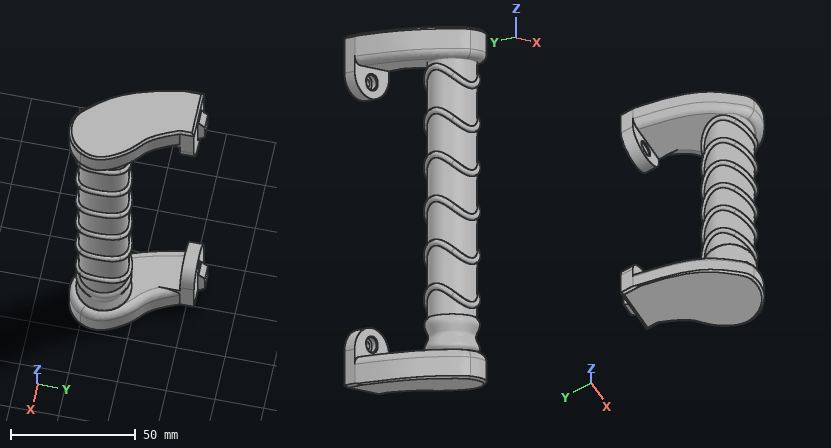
import cadquery as cq
import math


handle_height = 144.1

arm_thickness = 12.4
arm_left = -25.1
outer_chamfer = 1.0
inner_fillet = 3.5

flange_width = 20.0
flange_thickness = 5.8
flange_back = 35.9
flange_round_start = 15.1
screw_depth_from_end = 18.3
screw_hole_diameter = 3.5
screw_head_diameter = 6.0
screw_head_depth = 2.9
screw_head_chamfer = 0.5

tooth_width = 6.0
tooth_length = 13.3
tooth_height = 3.0
tooth_chamfer = 2.6
tooth_center_from_end = 9.0

grip_diameter = 20.2
collar_height = 14.4
collar_bulge_radius = 11.2
collar_neck_radius = 9.7
collar_lower_bulge_inset = 1.9
collar_upper_bulge_inset = 3.0
collar_neck_inset = 7.9

rib_count = 6
rib_pitch = 18.0
rib_radius = 1.3
rib_amplitude = 3.7
top_rib_z = 125.0

grip_radius = grip_diameter / 2
flange_center_x = arm_left + flange_width / 2
flange_right = arm_left + flange_width
flange_front = flange_back - flange_thickness
flange_radius = flange_width / 2
arm_underside = handle_height - arm_thickness

left_side = [(arm_left, flange_front), (-21.2, 13.1), (-15.9, 0.1), (-8.2, -10.0), (-3.5, -13.4)]
left_start_direction = (0.2, -1)
left_end_direction = (0.95, -0.3)
tip_middle = (4.5, -13.3)
right_side = [(11.7, -7.2), (13.3, -1.2), (5.6, 14.0), (flange_right, flange_front)]
right_start_direction = (0.45, 0.9)
right_end_direction = (-0.4, 1)


def bracket_arm():
    """Curved arm with a chamfered outer edge and a rounded inner edge."""
    arm = (
        cq.Workplane("XY", origin=(0, 0, arm_underside))
        .moveTo(arm_left, flange_back)
        .lineTo(*left_side[0])
        .spline(
            left_side[1:],
            includeCurrent=True,
            tangents=[left_start_direction, left_end_direction],
        )
        .threePointArc(tip_middle, right_side[0])
        .spline(
            right_side[1:],
            includeCurrent=True,
            tangents=[right_start_direction, right_end_direction],
        )
        .lineTo(flange_right, flange_back)
        .close()
        .extrude(arm_thickness)
    )
    arm = arm.faces(">Z").edges().chamfer(outer_chamfer)
    curved_edges = cq.selectors.BoxSelector(
        (arm_left - 1.5, flange_front - 0.1, arm_underside - 0.1),
        (-arm_left, right_side[0][1] * 3, arm_underside + 0.1),
    )
    return arm.edges(curved_edges).fillet(inner_fillet)


def flange_plate():
    """Round-ended plate that hangs from the back of the arm."""
    round_z = handle_height - flange_round_start
    plate_top = handle_height - outer_chamfer
    return (
        cq.Workplane("XZ", origin=(0, flange_back, 0))
        .moveTo(arm_left, plate_top)
        .lineTo(arm_left, round_z)
        .threePointArc((flange_center_x, round_z - flange_radius), (flange_right, round_z))
        .lineTo(flange_right, plate_top)
        .close()
        .extrude(flange_thickness)
    )


def tooth():
    """Locating tooth with sloped ends."""
    half_length = tooth_length / 2
    middle_z = handle_height - tooth_center_from_end
    shoulder_y = flange_back + tooth_height - tooth_chamfer
    tooth_back = flange_back + tooth_height
    crest = half_length - tooth_chamfer
    return (
        cq.Workplane("YZ", origin=(flange_center_x - tooth_width / 2, 0, 0))
        .polyline([
            (flange_back, middle_z - half_length),
            (shoulder_y, middle_z - half_length),
            (tooth_back, middle_z - crest),
            (tooth_back, middle_z + crest),
            (shoulder_y, middle_z + half_length),
            (flange_back, middle_z + half_length),
        ])
        .close()
        .extrude(tooth_width)
    )


def screw_hole():
    """Counterbored screw hole with a chamfered mouth, entered from the front of the flange."""
    screw_z = handle_height - screw_depth_from_end
    axis = cq.Workplane("XZ", origin=(flange_center_x, flange_front, screw_z))
    through = axis.circle(screw_hole_diameter / 2).extrude(-flange_thickness)
    head = axis.circle(screw_head_diameter / 2).extrude(-screw_head_depth)
    mouth = (
        axis.circle(screw_head_diameter / 2 + screw_head_chamfer)
        .workplane(offset=-screw_head_chamfer)
        .circle(screw_head_diameter / 2)
        .loft()
    )
    return through.union(head).union(mouth)


def make_top_bracket():
    return bracket_arm().union(flange_plate()).union(tooth()).cut(screw_hole())


def make_bottom_bracket(top_bracket):
    return top_bracket.mirror("XY", basePointVector=(0, 0, handle_height / 2))


def grip_core():
    """Round bar with a turned collar at its lower end."""
    bottom = arm_thickness
    collar_top = bottom + collar_height
    return (
        cq.Workplane("XZ")
        .moveTo(0, bottom)
        .lineTo(grip_radius, bottom)
        .spline(
            [
                (collar_bulge_radius, bottom + collar_lower_bulge_inset),
                (collar_neck_radius, collar_top - collar_neck_inset),
                (collar_bulge_radius, collar_top - collar_upper_bulge_inset),
                (grip_radius, collar_top),
            ],
            includeCurrent=True,
        )
        .lineTo(grip_radius, arm_underside)
        .lineTo(0, arm_underside)
        .close()
        .revolve(360, (0, 0, 0), (0, 1, 0))
    )


def rib_point(angle):
    """Point on the wavy rib path, with the middle of the wave at Z = 0."""
    return cq.Vector(
        grip_radius * math.cos(angle),
        grip_radius * math.sin(angle),
        rib_amplitude * math.cos(2 * angle),
    )


def rib_direction(angle):
    """Direction of the rib path at the same angle."""
    return cq.Vector(
        -grip_radius * math.sin(angle),
        grip_radius * math.cos(angle),
        -2 * rib_amplitude * math.sin(2 * angle),
    )


def rib_quarter(start_angle):
    """Quarter turn of the round wire that forms a rib."""
    end_angle = start_angle + math.pi / 2
    middle_angle = (start_angle + end_angle) / 2
    path = cq.Edge.makeSpline(
        [rib_point(start_angle), rib_point(middle_angle), rib_point(end_angle)],
        tangents=[rib_direction(start_angle), rib_direction(end_angle)],
    )
    outward = cq.Vector(math.cos(start_angle), math.sin(start_angle), 0)
    section = cq.Plane(rib_point(start_angle), xDir=outward, normal=rib_direction(start_angle))
    return cq.Workplane(section).circle(rib_radius).sweep(cq.Workplane(path))


def ribbed_bay():
    """One rib pitch of bar with a rib around its middle, low at front and back, high at the sides."""
    bay = cq.Workplane("XY", origin=(0, 0, -rib_pitch / 2)).circle(grip_radius).extrude(rib_pitch)
    for quarter in range(4):
        bay = bay.union(rib_quarter(math.pi / 4 + quarter * math.pi / 2))
    return bay


def make_grip():
    grip = grip_core()
    bay = ribbed_bay()
    for index in range(rib_count):
        grip = grip.union(bay.translate((0, 0, top_rib_z - index * rib_pitch)))
    return grip


top_bracket = make_top_bracket()
bottom_bracket = make_bottom_bracket(top_bracket)
grip = make_grip()

result = cq.Compound.makeCompound([top_bracket.val(), bottom_bracket.val(), grip.val()])